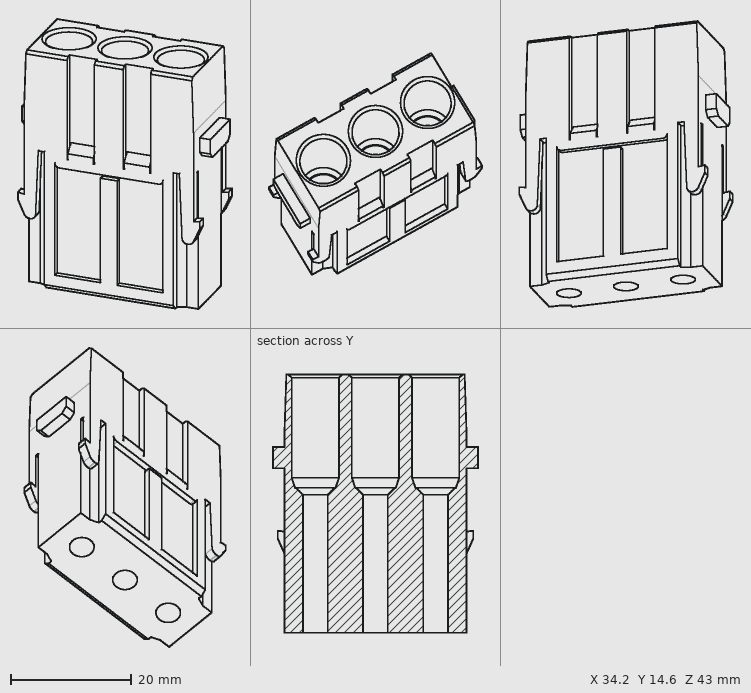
import cadquery as cq
import math

HEIGHT = 43.05
DEPTH = 14.6
BODY_WIDTH = 30.4
TOP_WIDTH = 29.75
TAPER_START_Z = 33.1
TOP_CHAMFER = 0.5
BOTTOM_CHAMFER = 0.95
FRONT_Y = -DEPTH / 2
SIDE_X = BODY_WIDTH / 2

BORE_PITCH = 10.05
MOUTH_DIAMETER = 9.05
MOUTH_DEPTH = 0.5
BORE_DIAMETER = 7.85
SHOULDER_DIAMETER = 6.7
SEAT_DIAMETER = 6.4
THROUGH_DIAMETER = 4.1
BORE_END_Z = 25.85
SHOULDER_HEIGHT = 1.7

GROOVE_SPACING = 10.08
GROOVE_WIDTH = 4.9
GROOVE_DEPTH = 1.2
GROOVE_BOTTOM_Z = 24.4
LUG_SIDE_GAP = 0.17
LUG_TOP_Z = 27.1
LUG_FACE_TOP_Z = 25.55

PANEL_WIDTH = 19.4
PANEL_DEPTH = 1.05
PANEL_BOTTOM_Z = 2.97
PANEL_TOP_Z = 22.7
PANEL_CORNER_RADIUS = 0.75
RIB_WIDTH = 3.0
RIB_TOP_Z = 22.05

RELIEF_TOP_Z = 25.2
RELIEF_INNER_X = 11.6
RELIEF_BEND_X = 13.15
RELIEF_DEPTH = 2.2
LATCH_THICKNESS = 1.6
LATCH_ROOT_X = 12.65
LATCH_FOOT_X = 13.2
LATCH_TIP_X = 16.32
LATCH_BOTTOM_Z = 12.58
HOOK_TIP_Z = 17.05
HOOK_ROOT_Z = 16.9
HOOK_NOSE_Z = 15.7
RAMP_SLOPE = 0.45
LATCH_OUTER_RADIUS = 1.1
LATCH_INNER_RADIUS = 0.95

TAB_SPAN = 34.2
LEFT_TAB_WIDTH = 7.05
RIGHT_TAB_WIDTH = 8.95
TAB_TOP_Z = 31.0
TAB_BOTTOM_Z = 27.4
TAB_CHAMFER = 1.0


def box(x_min, x_max, y_min, y_max, z_min, z_max):
    size = (x_max - x_min, y_max - y_min, z_max - z_min)
    return cq.Workplane("XY").box(*size, centered=False).translate((x_min, y_min, z_min))


def prism_along_x(points, x_min, x_max):
    """Extrude a (y, z) outline between two x positions."""
    return cq.Workplane("YZ", origin=(x_min, 0, 0)).polyline(points).close().extrude(x_max - x_min)


def on_both_faces(shape):
    """Repeat a front-face feature on the back face."""
    return shape.union(shape.mirror("XZ"))


def on_both_sides(shape):
    """Repeat a right-hand feature on the left."""
    return shape.union(shape.mirror("YZ"))


def make_body():
    half_top = TOP_WIDTH / 2
    outline = [
        (-SIDE_X, 0), (SIDE_X, 0), (SIDE_X, TAPER_START_Z),
        (half_top, HEIGHT), (-half_top, HEIGHT), (-SIDE_X, TAPER_START_Z),
    ]
    body = cq.Workplane("XZ").polyline(outline).close().extrude(DEPTH / 2, both=True)
    body = body.faces(">Z").edges("|X").chamfer(TOP_CHAMFER)
    return body.faces("<Z").edges("|X").chamfer(BOTTOM_CHAMFER)


def make_bores():
    seat_z = BORE_END_Z - SHOULDER_HEIGHT
    seat_cone_height = (SEAT_DIAMETER - THROUGH_DIAMETER) / 2
    profile = [
        (0, HEIGHT),
        (MOUTH_DIAMETER / 2, HEIGHT),
        (BORE_DIAMETER / 2, HEIGHT - MOUTH_DEPTH),
        (BORE_DIAMETER / 2, BORE_END_Z),
        (SHOULDER_DIAMETER / 2, seat_z),
        (SEAT_DIAMETER / 2, seat_z),
        (THROUGH_DIAMETER / 2, seat_z - seat_cone_height),
        (THROUGH_DIAMETER / 2, 0),
        (0, 0),
    ]
    bore = cq.Workplane("XZ").polyline(profile).close().revolve(360, (0, 0, 0), (0, 1, 0))
    return [bore.translate((i * BORE_PITCH, 0, 0)) for i in (-1, 0, 1)]


def make_groove():
    """Groove on the right half of the front face, less the wedge-topped lug at its foot."""
    center = GROOVE_SPACING / 2
    floor_y = FRONT_Y + GROOVE_DEPTH
    left = center - GROOVE_WIDTH / 2
    right = center + GROOVE_WIDTH / 2
    groove = box(left, right, FRONT_Y, floor_y, GROOVE_BOTTOM_Z, HEIGHT)
    lug_outline = [
        (floor_y, GROOVE_BOTTOM_Z), (FRONT_Y, GROOVE_BOTTOM_Z),
        (FRONT_Y, LUG_FACE_TOP_Z), (floor_y, LUG_TOP_Z),
    ]
    return groove.cut(prism_along_x(lug_outline, left + LUG_SIDE_GAP, right - LUG_SIDE_GAP))


def make_panel():
    """Recess whose upper edge curves up into both corners, with the centre rib left standing."""
    half = PANEL_WIDTH / 2
    radius = PANEL_CORNER_RADIUS
    offset = radius * (1 - math.sqrt(0.5))
    panel = (
        cq.Workplane("XZ", origin=(0, FRONT_Y, 0))
        .moveTo(-half, PANEL_BOTTOM_Z)
        .lineTo(half, PANEL_BOTTOM_Z)
        .lineTo(half, PANEL_TOP_Z + radius)
        .threePointArc((half - offset, PANEL_TOP_Z + offset), (half - radius, PANEL_TOP_Z))
        .lineTo(radius - half, PANEL_TOP_Z)
        .threePointArc((offset - half, PANEL_TOP_Z + offset), (-half, PANEL_TOP_Z + radius))
        .close()
        .extrude(-PANEL_DEPTH)
    )
    rib = box(-RIB_WIDTH / 2, RIB_WIDTH / 2, FRONT_Y, FRONT_Y + PANEL_DEPTH, PANEL_BOTTOM_Z, RIB_TOP_Z)
    return panel.cut(rib)


def make_relief():
    """Corner cut with a sloped floor next to its inner wall."""
    outline = [
        (RELIEF_INNER_X, FRONT_Y),
        (SIDE_X, FRONT_Y),
        (SIDE_X, FRONT_Y + RELIEF_DEPTH),
        (RELIEF_BEND_X, FRONT_Y + RELIEF_DEPTH),
        (RELIEF_INNER_X, FRONT_Y + LATCH_THICKNESS),
    ]
    return cq.Workplane("XY").polyline(outline).close().extrude(RELIEF_TOP_Z)


def make_latch():
    """Hooked spring arm hanging from the top of the relief."""
    ramp_foot_x = LATCH_TIP_X - RAMP_SLOPE * (HOOK_NOSE_Z - LATCH_BOTTOM_Z)
    outline = [
        (LATCH_ROOT_X, RELIEF_TOP_Z),
        (SIDE_X, RELIEF_TOP_Z),
        (SIDE_X, HOOK_ROOT_Z),
        (LATCH_TIP_X, HOOK_TIP_Z),
        (LATCH_TIP_X, HOOK_NOSE_Z),
        (ramp_foot_x, LATCH_BOTTOM_Z),
        (LATCH_FOOT_X, LATCH_BOTTOM_Z),
    ]
    latch = cq.Workplane("XZ", origin=(0, FRONT_Y, 0)).polyline(outline).close().extrude(-LATCH_THICKNESS)
    latch = latch.faces("<Z").edges("|Y").edges(">X").fillet(LATCH_OUTER_RADIUS)
    return latch.faces("<Z").edges("|Y").edges("<X").fillet(LATCH_INNER_RADIUS)


def make_tab(width, x_min, x_max):
    half = width / 2
    outline = [
        (-half, TAB_TOP_Z), (half, TAB_TOP_Z),
        (half, TAB_BOTTOM_Z + TAB_CHAMFER), (half - TAB_CHAMFER, TAB_BOTTOM_Z),
        (TAB_CHAMFER - half, TAB_BOTTOM_Z), (-half, TAB_BOTTOM_Z + TAB_CHAMFER),
    ]
    return prism_along_x(outline, x_min, x_max)


result = make_body()
for bore in make_bores():
    result = result.cut(bore)
result = result.cut(on_both_faces(on_both_sides(make_groove())))
result = result.cut(on_both_faces(make_panel()))
result = result.cut(on_both_faces(on_both_sides(make_relief())))
result = result.union(on_both_faces(on_both_sides(make_latch())))
result = result.union(make_tab(LEFT_TAB_WIDTH, -TAB_SPAN / 2, -SIDE_X))
result = result.union(make_tab(RIGHT_TAB_WIDTH, SIDE_X, TAB_SPAN / 2))